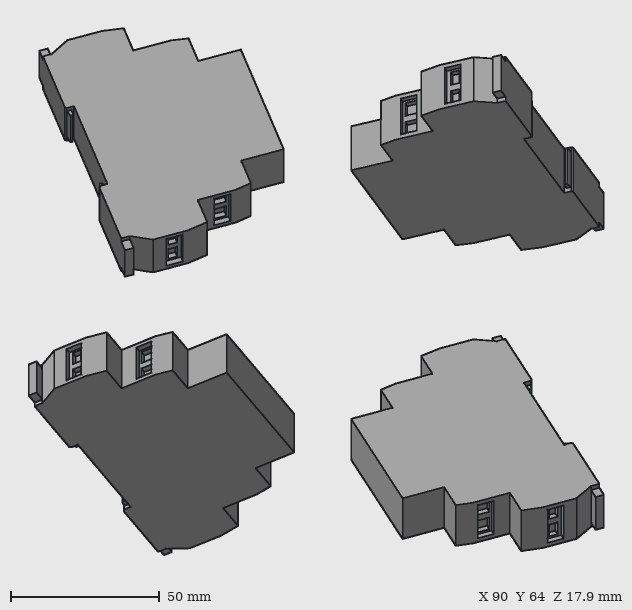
import cadquery as cq

WIDTH = 90.0
HEIGHT = 64.0
THICKNESS = 17.9
HALF_WIDTH = WIDTH / 2
SIDE_MARGIN = 1.7

TOP_HALF_WIDTH = 22.5
MIDDLE_HALF_WIDTH = 33.75
MIDDLE_SHOULDER_Y = 48.9
MIDDLE_TAPER_HEIGHT = 5.85
MIDDLE_TAPER_INSET = 1.1
LOWER_SHOULDER_Y = 29.6
LOWER_TAPER_HEIGHT = 7.3
LOWER_TAPER_INSET = 1.3
UNDERCUT_START_Y = 10.0

FOOT_HEIGHT = 3.1
TAB_LENGTH = 4.0
FOOT_HALF_WIDTH = HALF_WIDTH - TAB_LENGTH
RAIL_HALF_WIDTH = 17.55
FOOT_CHAMFER = 0.5

LATCH_REACH = 2.25
LATCH_TOP_Y = 2.2
LATCH_TIP_TOP_Y = 1.8
LATCH_TIP_BOTTOM_Y = 1.1
LATCH_TIP_BEVEL = 0.6

WINDOW_WIDTH = 5.85
WINDOW_DEPTH = 2.0
POCKET_DEPTH = 2.0
POCKET_HEIGHT = 5.1
POCKET_GAP = 2.5
MIDDLE_WINDOW_Y = 38.3
MIDDLE_POCKET_WIDTH = 4.2
LOWER_WINDOW_Y = 17.6
LOWER_POCKET_WIDTH = 3.1

INSET_THICKNESS = THICKNESS - 2 * SIDE_MARGIN


def both_sides(right_half):
    """Return a +X solid together with its mirror image on -X."""
    return right_half.union(right_half.mirror("YZ"))


def box(x_start, x_length, y_centre, y_width, z_height, z_centre=0.0):
    """Block that starts at x_start and is centred in Y and Z."""
    block = cq.Workplane("XY").box(x_length, y_width, z_height, centered=(False, True, True))
    return block.translate((x_start, y_centre, z_centre))


def make_body():
    right_outline = [
        (0, HEIGHT),
        (TOP_HALF_WIDTH, HEIGHT),
        (TOP_HALF_WIDTH, MIDDLE_SHOULDER_Y),
        (MIDDLE_HALF_WIDTH - MIDDLE_TAPER_INSET, MIDDLE_SHOULDER_Y),
        (MIDDLE_HALF_WIDTH, MIDDLE_SHOULDER_Y - MIDDLE_TAPER_HEIGHT),
        (MIDDLE_HALF_WIDTH, LOWER_SHOULDER_Y),
        (HALF_WIDTH - LOWER_TAPER_INSET, LOWER_SHOULDER_Y),
        (HALF_WIDTH, LOWER_SHOULDER_Y - LOWER_TAPER_HEIGHT),
        (HALF_WIDTH, UNDERCUT_START_Y),
        (FOOT_HALF_WIDTH, FOOT_HEIGHT),
        (FOOT_HALF_WIDTH, 0),
        (RAIL_HALF_WIDTH + FOOT_CHAMFER, 0),
        (RAIL_HALF_WIDTH, FOOT_CHAMFER),
        (RAIL_HALF_WIDTH, FOOT_HEIGHT),
        (0, FOOT_HEIGHT),
    ]
    outline = cq.Workplane("XY").polyline(right_outline).mirrorY()
    return outline.extrude(THICKNESS / 2, both=True)


def make_tab():
    return box(FOOT_HALF_WIDTH, TAB_LENGTH, FOOT_HEIGHT / 2, FOOT_HEIGHT, INSET_THICKNESS)


def make_latch():
    tip_x = RAIL_HALF_WIDTH - LATCH_REACH
    profile = [
        (RAIL_HALF_WIDTH, LATCH_TOP_Y),
        (tip_x + LATCH_TIP_BEVEL, LATCH_TOP_Y),
        (tip_x, LATCH_TIP_TOP_Y),
        (tip_x, LATCH_TIP_BOTTOM_Y),
        (RAIL_HALF_WIDTH, FOOT_CHAMFER),
    ]
    return cq.Workplane("XY").polyline(profile).close().extrude(INSET_THICKNESS / 2, both=True)


def make_terminal_cut(wall_x, y_centre, pocket_width):
    """Window sunk into the wall at wall_x, with a pair of deeper wire pockets."""
    floor_x = wall_x - WINDOW_DEPTH
    cut = box(floor_x, WINDOW_DEPTH, y_centre, WINDOW_WIDTH, INSET_THICKNESS)
    for side in (-1, 1):
        pocket_z = side * (POCKET_HEIGHT + POCKET_GAP) / 2
        pocket = box(floor_x - POCKET_DEPTH, POCKET_DEPTH, y_centre, pocket_width, POCKET_HEIGHT, pocket_z)
        cut = cut.union(pocket)
    return cut


middle_terminals = make_terminal_cut(MIDDLE_HALF_WIDTH, MIDDLE_WINDOW_Y, MIDDLE_POCKET_WIDTH)
lower_terminals = make_terminal_cut(HALF_WIDTH, LOWER_WINDOW_Y, LOWER_POCKET_WIDTH)

result = make_body()
result = result.union(both_sides(make_tab()))
result = result.union(both_sides(make_latch()))
result = result.cut(both_sides(middle_terminals))
result = result.cut(both_sides(lower_terminals))